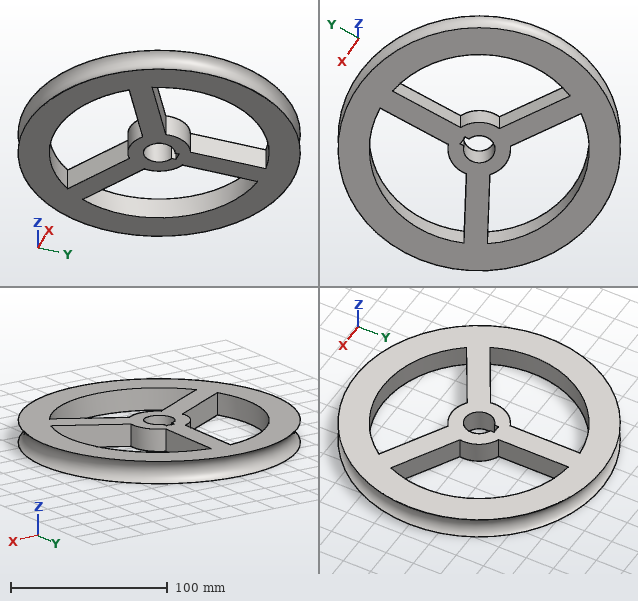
import cadquery as cq

wheel_diameter = 180.0
thickness = 15.0
rim_inner_diameter = 140.0
hub_diameter = 40.0
bore_diameter = 20.0
spoke_width = 15.0
spoke_count = 3
keyway_width = 6.0
keyway_reach = 12.5
groove_depth = 4.3

wheel_radius = wheel_diameter / 2
rim_inner_radius = rim_inner_diameter / 2
half_thickness = thickness / 2


def make_rim():
    """Revolve the rim section, with its concave rope groove."""
    return (
        cq.Workplane("XZ")
        .moveTo(rim_inner_radius, -half_thickness)
        .lineTo(wheel_radius, -half_thickness)
        .threePointArc((wheel_radius - groove_depth, 0), (wheel_radius, half_thickness))
        .lineTo(rim_inner_radius, half_thickness)
        .close()
        .revolve(360, (0, 0, 0), (0, 1, 0))
    )


def make_spoke(angle):
    """Straight spoke from the axis into the rim, turned from +Y about Z."""
    overlap = 1.8
    length = rim_inner_radius + overlap
    return (
        cq.Workplane("XY")
        .box(spoke_width, length, thickness, centered=(True, False, True))
        .rotate((0, 0, 0), (0, 0, 1), angle)
    )


def make_bore():
    """Shaft bore with a keyway on the +Y side, through the full thickness."""
    bore = cq.Workplane("XY").circle(bore_diameter / 2).extrude(half_thickness, both=True)
    keyway = cq.Workplane("XY").box(
        keyway_width, keyway_reach, thickness, centered=(True, False, True)
    )
    return bore.union(keyway)


hub = cq.Workplane("XY").circle(hub_diameter / 2).extrude(half_thickness, both=True)
wheel = make_rim().union(hub)
for index in range(spoke_count):
    wheel = wheel.union(make_spoke(index * 360 / spoke_count))

result = wheel.cut(make_bore())